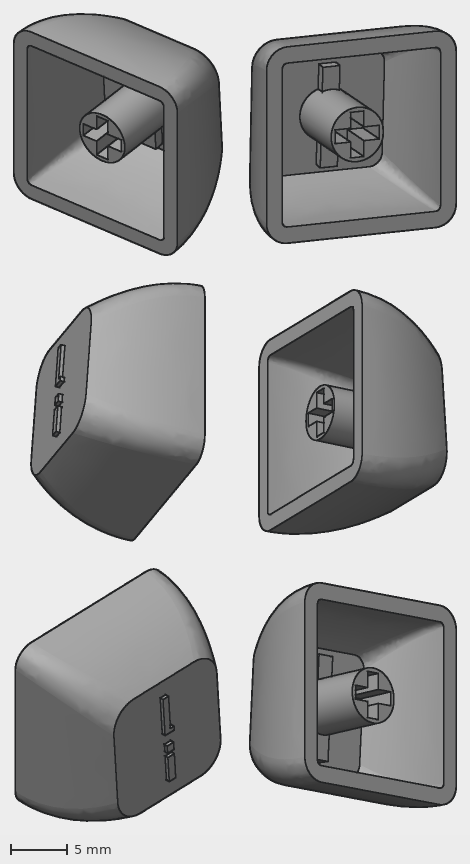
import cadquery as cq
import math

rim_width = 18.1
rim_corner_radius = 2.01
crown_width = 12.7
crown_corner_radius = 2.66
crown_height = 10.06
crown_tilt = 3.8
wall = 1.5

cavity_rim_corner_radius = rim_corner_radius - wall
cavity_ceiling_corner_radius = 1.21

stem_diameter = 5.0
stem_setback = 1.0
cross_length = 4.2
cross_arm_width = 1.27
cross_depth = 3.98

bar_length = 9.45
bar_width = 1.63
bar_thickness = 1.0

legend_height = 0.36
legend_half_span = 4.62
upper_post_bottom = 0.62
upper_post_width = 0.69
upper_post_offset = 0.24
foot_width = 1.09
foot_height = 0.43
dot_top = -0.65
dot_height = 0.8
lower_post_top = -1.94
lower_post_width = 0.8

section_count = 5
corner_growth = 1.6

side_inset = (rim_width - crown_width) / 2
side_radius = (crown_height**2 + side_inset**2) / (2 * side_inset)
side_center = rim_width / 2 - side_radius
tilt = math.radians(crown_tilt)
ceiling_height = crown_height - wall / math.cos(tilt)


def tilted_plane(height, angle):
    """Plane crossing the axis at the given height; local x is -X and local y is nearly +Z."""
    return cq.Plane(
        origin=(0, height, 0),
        xDir=(-1, 0, 0),
        normal=(0, math.cos(angle), math.sin(angle)),
    )


def rounded_square(plane, width, corner_radius):
    """Closed wire of a square with rounded corners, centred on the plane's origin."""
    square = cq.Workplane(plane).rect(width, width).val()
    return square.fillet2D(corner_radius, square.Vertices())


def domed_block(height, arc_radius, start_corner, end_corner):
    """Rounded square block with arched sides, its sections tilting more toward the top."""
    wires = []
    for index in range(section_count):
        fraction = index / (section_count - 1)
        level = fraction * height
        width = 2 * (side_center + math.sqrt(arc_radius**2 - level**2))
        corner_radius = start_corner + fraction**corner_growth * (end_corner - start_corner)
        wires.append(rounded_square(tilted_plane(level, fraction * tilt), width, corner_radius))
    return cq.Workplane(cq.Solid.makeLoft(wires))


def make_stem():
    """Round stem from its free end up into the crown wall, with a blind cross socket."""
    end_plane = tilted_plane(stem_setback, 0)
    stem_length = ceiling_height + wall / 2 - stem_setback
    stem = cq.Workplane(end_plane).circle(stem_diameter / 2).extrude(stem_length)
    for arm_size in ((cross_length, cross_arm_width), (cross_arm_width, cross_length)):
        stem = stem.cut(cq.Workplane(end_plane).rect(*arm_size).extrude(cross_depth))
    return stem


def legend_block(width, bottom, top, offset):
    """Rectangular post from the ceiling through the crown wall to the legend face."""
    return (
        cq.Workplane(tilted_plane(ceiling_height, tilt))
        .center(offset, (bottom + top) / 2)
        .rect(width, top - bottom)
        .extrude(wall + legend_height)
    )


def make_legend():
    """Backing bar under the ceiling, joined to the posts that stand out of the crown."""
    ceiling_plane = tilted_plane(ceiling_height, tilt)
    bar = cq.Workplane(ceiling_plane).rect(bar_width, bar_length).extrude(-bar_thickness)
    upper_post = legend_block(upper_post_width, upper_post_bottom, legend_half_span, -upper_post_offset)
    foot = legend_block(foot_width, upper_post_bottom, upper_post_bottom + foot_height, 0)
    dot = legend_block(lower_post_width, dot_top - dot_height, dot_top, 0)
    lower_post = legend_block(lower_post_width, -legend_half_span, lower_post_top, 0)
    return bar.union(upper_post).union(foot).union(dot).union(lower_post)


def make_cap(legend):
    """Hollow domed cap with its stem, recessed to take the legend body."""
    outside = domed_block(crown_height, side_radius, rim_corner_radius, crown_corner_radius)
    cavity = domed_block(
        ceiling_height, side_radius - wall, cavity_rim_corner_radius, cavity_ceiling_corner_radius
    )
    return outside.cut(cavity).union(make_stem()).cut(legend)


legend = make_legend()
cap = make_cap(legend)

result = cq.Compound.makeCompound([cap.solids().val(), legend.solids().val()])